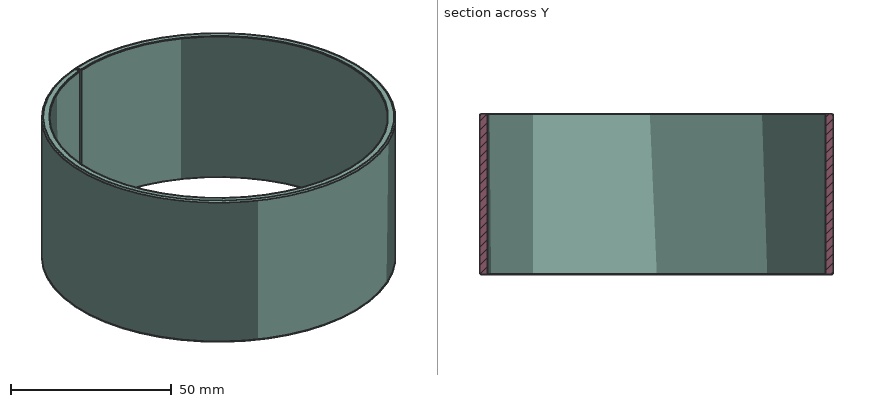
import cadquery as cq

OUTER_DIAMETER = 110.0
WALL_THICKNESS = 2.5
LENGTH = 50.0
FULL_TURN = 360.0
SLIT_ANGLE = 1.0
OUTER_CHAMFER = 0.5
INNER_CHAMFER = 0.2

OUTER_RADIUS = OUTER_DIAMETER / 2
INNER_RADIUS = OUTER_RADIUS - WALL_THICKNESS
HALF_LENGTH = LENGTH / 2


def make_split_sleeve():
    """Revolve the wall section about Z from the -X side, stopping short to leave the slit on +Y."""
    outer_face_end = HALF_LENGTH - OUTER_CHAMFER
    inner_face_end = HALF_LENGTH - INNER_CHAMFER
    outer_rim = OUTER_RADIUS - OUTER_CHAMFER
    inner_rim = INNER_RADIUS + INNER_CHAMFER
    section = [
        (-OUTER_RADIUS, -outer_face_end),
        (-OUTER_RADIUS, outer_face_end),
        (-outer_rim, HALF_LENGTH),
        (-inner_rim, HALF_LENGTH),
        (-INNER_RADIUS, inner_face_end),
        (-INNER_RADIUS, -inner_face_end),
        (-inner_rim, -HALF_LENGTH),
        (-outer_rim, -HALF_LENGTH),
    ]
    wall_section = cq.Workplane("XZ").polyline(section).close()
    return wall_section.revolve(FULL_TURN - SLIT_ANGLE, (0, 0), (0, 1))


result = make_split_sleeve()